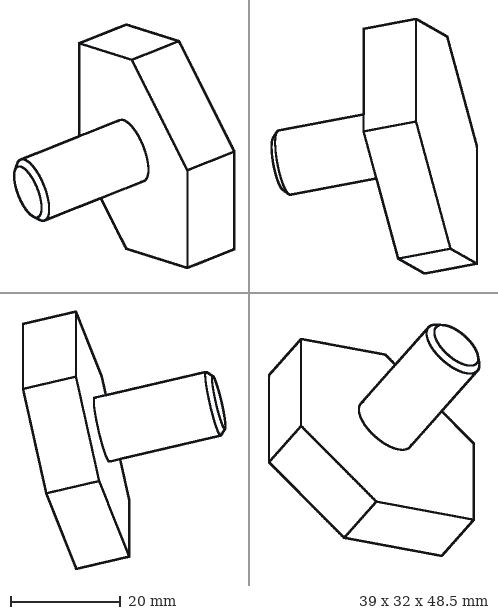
import cadquery as cq
import math

plate_left = 19.0
plate_right = 20.0
plate_top = 22.5
plate_height = 48.5
bottom_corner_x = -2.05
plate_thickness = 10.0
slope = math.tan(math.radians(30))

stud_diameter = 12.0
stud_length = 22.0
stud_chamfer = 1.0

plate_bottom = plate_top - plate_height
outline = [
    (0, plate_top),
    (plate_right, plate_top - plate_right * slope),
    (plate_right, plate_bottom + (plate_right - bottom_corner_x) * slope),
    (bottom_corner_x, plate_bottom),
    (-plate_left, plate_bottom + (plate_left + bottom_corner_x) * slope),
    (-plate_left, plate_top - plate_left * slope),
]
plate = cq.Workplane("XZ").polyline(outline).close().extrude(-plate_thickness)

stud = (
    cq.Workplane("XZ")
    .circle(stud_diameter / 2)
    .extrude(stud_length)
    .faces("<Y")
    .chamfer(stud_chamfer)
)

result = plate.union(stud)